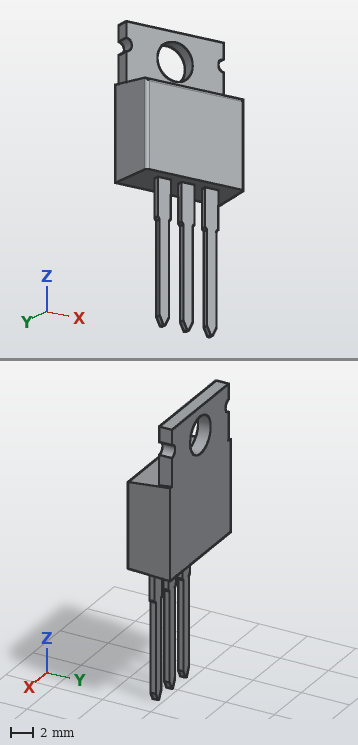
import cadquery as cq
import math

total_height = 29.33
body_width = 11.2
body_depth = 4.7
body_bottom = 14.1
body_height = 9.45
body_top = body_bottom + body_height

side_draft = 4.0
top_draft = 8.0
front_edge_radius = 0.32

tab_width = 10.5
tab_thickness = 1.32
hole_diameter = 3.78
hole_drop = 2.87
notch_radius = 0.65
notch_drop = 2.23
notch_outset = 0.05

lead_count = 3
lead_pitch = 2.55
lead_thickness = 0.55
lead_back = 2.9
wide_width = 1.4
narrow_width = 1.03
tip_width = 0.2
shoulder_start = 3.8
shoulder_end = 4.05
tip_start = 13.3


def make_body():
    """Block with drafted sides and top, and rounded front edges."""
    side_inset = body_depth * math.tan(math.radians(side_draft))
    top_inset = body_depth * math.tan(math.radians(top_draft))
    back_half = body_width / 2
    front_half = back_half - side_inset
    side_profile = [
        (0, body_bottom),
        (-body_depth, body_bottom),
        (-body_depth, body_top - top_inset),
        (0, body_top),
    ]
    plan_profile = [
        (-back_half, 0),
        (-front_half, -body_depth),
        (front_half, -body_depth),
        (back_half, 0),
    ]
    block = cq.Workplane("YZ").polyline(side_profile).close().extrude(back_half, both=True)
    plan = cq.Workplane("XY").polyline(plan_profile).close().extrude(total_height)
    body = block.intersect(plan)
    front_edges = body.faces("<Y").edges("not <Z")
    return front_edges.fillet(front_edge_radius)


def make_tab():
    """Flat tab running down behind the body, with a hole and two edge notches."""
    tab = cq.Workplane("XY").box(
        tab_width, tab_thickness, total_height - body_bottom, centered=(True, False, False)
    ).translate((0, -tab_thickness, body_bottom))
    hole = (
        cq.Workplane("XZ")
        .center(0, total_height - hole_drop)
        .circle(hole_diameter / 2)
        .extrude(tab_thickness)
    )
    notch_x = tab_width / 2 + notch_outset
    notches = (
        cq.Workplane("XZ")
        .pushPoints([(side * notch_x, total_height - notch_drop) for side in (-1, 1)])
        .circle(notch_radius)
        .extrude(tab_thickness)
    )
    return tab.cut(hole).cut(notches)


def make_lead(x):
    """Flat lead that narrows at a shoulder and ends in a blunt point."""
    right_side = [
        (wide_width / 2, body_bottom),
        (wide_width / 2, body_bottom - shoulder_start),
        (narrow_width / 2, body_bottom - shoulder_end),
        (narrow_width / 2, body_bottom - tip_start),
        (tip_width / 2, 0),
    ]
    left_side = [(-offset, z) for offset, z in reversed(right_side)]
    return (
        cq.Workplane("XZ")
        .polyline(right_side + left_side)
        .close()
        .extrude(lead_thickness)
        .translate((x, -lead_back, 0))
    )


result = make_body().union(make_tab())
for index in range(lead_count):
    lead_x = (index - (lead_count - 1) / 2) * lead_pitch
    result = result.union(make_lead(lead_x))